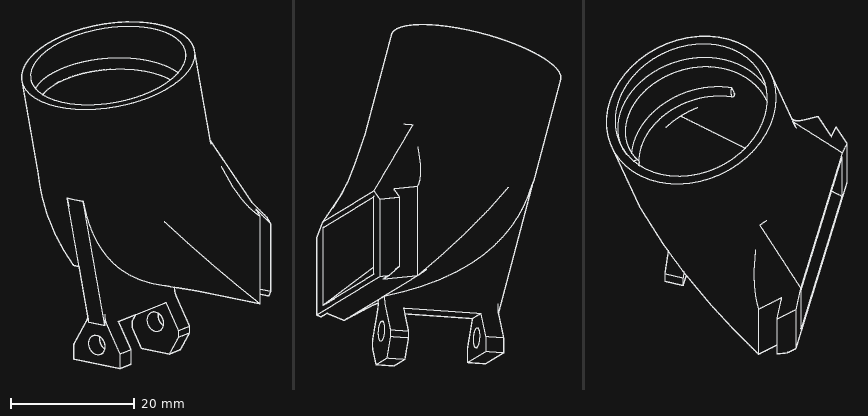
import cadquery as cq
import math

total_depth = 35.65
rim_height = 44.8
tilt = 15.0

collar_diameter = 28.5
bore_diameter = 25.5
collar_length = 17.4

mouth_height = 14.8
mouth_width = 37.3
mouth_half_width = mouth_width / 2
mouth_bevel = 5.6

opening_half_width = 12.85
opening_floor = 1.0
opening_roof = 13.8

bead_radius = 1.0
bead_pitch = 8.85
bead_turns = 1.4
bead_base = 3.25
bead_end_angle = 180.0

flange_reach = 3.0
flange_depth = 2.55
flange_top_drop = 2.0
flange_corner_cut = 1.4
flange_embed = 0.3

fin_width = 3.2
fin_embed = 0.55
bar_drop = 1.9
lug_thickness = 3.1
lug_half_width = 4.65
lug_shoulder_drop = 6.2
lug_knee_drop = 7.3
front_lug_drop = 8.7
rear_lug_drop = 10.5
lug_span = 19.4
lug_rear_y = -5.7
lug_front_y = lug_rear_y - lug_span
flank_lean = math.radians(30)
hole_diameter = 3.25
hole_drop = 5.5

lean = math.radians(tilt)
collar_radius = collar_diameter / 2
bore_radius = bore_diameter / 2
axis = cq.Vector(0, -math.sin(lean), math.cos(lean))
rise = cq.Vector(0, math.cos(lean), math.sin(lean))
across = cq.Vector(1, 0, 0)
rim_centre = cq.Vector(
    0,
    -total_depth + collar_radius * math.cos(lean),
    rim_height - collar_radius * math.sin(lean),
)
base_centre = rim_centre - axis * collar_length
collar_plane = cq.Plane(origin=base_centre, xDir=across, normal=axis)

rows = 12
columns = 16
sewing_tolerance = 0.05
corner_angle = 45.0
floor_follow = 15.5
side_follow = 8.3
corner_control = cq.Vector(14.95, -8.25, 18.0)
outer_floor_control = cq.Vector(15.25, -18.9, 11.35)


def circle_point(radius, angle):
    turn = math.radians(angle)
    return base_centre + across * (radius * math.cos(turn)) + rise * (radius * math.sin(turn))


def mirrored(point):
    return cq.Vector(-point.x, point.y, point.z)


def bezier(start, control, end, t):
    """Point at fraction t of a quadratic curve."""
    return start * (1 - t) ** 2 + control * (2 * t * (1 - t)) + end * t**2


def straight_control(start, end):
    """Control that makes the border a straight line."""
    return (start + end) * 0.5


def patch(radius, angles, edge, controls, follow=0):
    """Face from an arc of the circle to a straight mouth edge.

    The two controls shape the side borders. Halfway between the borders the face
    leaves the circle along the collar axis when a length to follow it is given.
    """
    borders = [
        control - straight_control(circle_point(radius, angle), corner)
        for control, angle, corner in zip(controls, angles, edge)
    ]
    grid = []
    for column in range(columns + 1):
        along = column / columns
        start = circle_point(radius, angles[0] + (angles[1] - angles[0]) * along)
        end = edge[0] + (edge[1] - edge[0]) * along
        control = straight_control(start, end) + borders[0] * (1 - along) + borders[1] * along
        if follow > 0:
            weight = math.sin(math.pi * along)
            control = control * (1 - weight) + (start - axis * follow) * weight
        grid.append([bezier(start, control, end, row / rows) for row in range(rows + 1)])
    return cq.Face.makeSplineApprox(grid, tol=0.001, minDeg=3, maxDeg=6)


def corner_face(tip, straight_end, curved_end, control):
    """Three-sided face between a straight border, a curved border and a mouth edge."""
    curve_points = [bezier(tip, control, curved_end, row / rows) for row in range(rows + 1)]
    borders = [
        cq.Edge.makeLine(tip, straight_end),
        cq.Edge.makeLine(straight_end, curved_end),
        cq.Edge.makeSpline(curve_points),
    ]
    return cq.Face.makeNSidedSurface(borders, [])


def flat_face(*points):
    return cq.Face.makeFromWires(cq.Wire.makePolygon(list(points), close=True))


def sewn_solid(faces):
    sewn = cq.occ_impl.shapes.shell(*faces, tol=sewing_tolerance)
    return cq.Workplane(cq.occ_impl.shapes.solid(sewn).fix())


def disc(radius):
    return cq.Face.makeFromWires(cq.Wire.makeCircle(radius, base_centre, axis))


def outer_body():
    back_half_width = mouth_half_width - mouth_bevel
    roof = cq.Vector(back_half_width, 0, mouth_height)
    side_top = cq.Vector(mouth_half_width, -mouth_bevel, mouth_height)
    side_bottom = cq.Vector(mouth_half_width, -mouth_bevel, 0)
    back_bottom = cq.Vector(back_half_width, 0, 0)
    upper = circle_point(collar_radius, corner_angle)
    roof_control = straight_control(upper, roof)

    faces = [disc(collar_radius)]
    faces.append(patch(
        collar_radius, (corner_angle, 180 - corner_angle), (roof, mirrored(roof)),
        (roof_control, mirrored(roof_control))))
    faces.append(patch(
        collar_radius, (-corner_angle, corner_angle - 180), (side_bottom, mirrored(side_bottom)),
        (outer_floor_control, mirrored(outer_floor_control)), floor_follow))
    right_side = [
        patch(collar_radius, (-corner_angle, corner_angle), (side_bottom, side_top),
              (outer_floor_control, corner_control), side_follow),
        corner_face(upper, roof, side_top, corner_control),
        flat_face(roof, side_top, side_bottom, back_bottom),
    ]
    for face in right_side:
        faces.append(face)
        faces.append(face.mirror("YZ"))
    faces.append(flat_face(roof, mirrored(roof), mirrored(back_bottom), back_bottom))
    faces.append(flat_face(back_bottom, mirrored(back_bottom), mirrored(side_bottom), side_bottom))
    return sewn_solid(faces)


def duct_cavity():
    roof = cq.Vector(opening_half_width, 0, opening_roof)
    floor = cq.Vector(opening_half_width, 0, opening_floor)
    upper = circle_point(bore_radius, corner_angle)
    lower = circle_point(bore_radius, -corner_angle)
    roof_control = straight_control(upper, roof)
    floor_control = straight_control(lower, floor)
    side = patch(bore_radius, (-corner_angle, corner_angle), (floor, roof),
                 (floor_control, roof_control))
    faces = [
        disc(bore_radius),
        patch(bore_radius, (corner_angle, 180 - corner_angle), (roof, mirrored(roof)),
              (roof_control, mirrored(roof_control))),
        patch(bore_radius, (-corner_angle, corner_angle - 180), (floor, mirrored(floor)),
              (floor_control, mirrored(floor_control)), floor_follow),
        side,
        side.mirror("YZ"),
        flat_face(roof, mirrored(roof), mirrored(floor), floor),
    ]
    return sewn_solid(faces)


def collar():
    return cq.Workplane(collar_plane).circle(collar_radius).extrude(collar_length)


def bore():
    return cq.Workplane(collar_plane).circle(bore_radius).extrude(collar_length)


def hose_thread():
    helix = cq.Wire.makeHelix(bead_pitch, bead_pitch * bead_turns, bore_radius)
    bead = (
        cq.Workplane("XZ")
        .center(bore_radius, 0)
        .circle(bead_radius)
        .sweep(cq.Workplane(helix), isFrenet=True)
    )
    bead = bead.rotate((0, 0, 0), (0, 0, 1), bead_end_angle).translate((0, 0, bead_base))
    return cq.Workplane(bead.val().moved(cq.Location(collar_plane)))


def side_flange():
    root_x = mouth_half_width - mouth_bevel
    tip_x = root_x + flange_reach
    section = flat_face(
        cq.Vector(root_x - flange_embed, 0, 0),
        cq.Vector(tip_x, 0, 0),
        cq.Vector(tip_x, 0, mouth_height - flange_top_drop),
        cq.Vector(root_x, 0, mouth_height),
        cq.Vector(root_x - flange_embed, 0, mouth_height),
    )
    along_bevel = cq.Vector(flange_depth, -flange_depth, 0)
    flange = cq.Workplane(cq.Solid.extrudeLinear(section, along_bevel))
    corner_wedge = (
        cq.Workplane("YZ")
        .polyline([
            (-flange_depth, 0),
            (flange_corner_cut - flange_depth, 0),
            (-flange_depth, flange_corner_cut),
        ])
        .close()
        .extrude(mouth_width)
    )
    return flange.cut(corner_wedge)


def flank_half_width(drop):
    """Half width of the hexagonal lug on its upper 60 degree flank."""
    return lug_half_width - (lug_shoulder_drop - drop) * math.tan(flank_lean)


def fin():
    base_front = base_centre - rise * collar_radius
    inside = base_front + rise * fin_embed
    foot = base_front - axis * ((base_front.z + bar_drop) / axis.z)
    return (
        cq.Workplane("YZ")
        .polyline([
            (base_front.y, base_front.z),
            (foot.y, foot.z),
            (lug_rear_y, -bar_drop),
            (lug_rear_y, fin_embed),
            (inside.y, inside.z),
        ])
        .close()
        .extrude(fin_width / 2, both=True)
    )


def flared_bar():
    """Bar under the fin whose concave flanks run from upright into the lug flanks."""
    top_x = fin_width / 2
    foot_x = flank_half_width(bar_drop)
    bend_x = top_x + (foot_x - top_x) / 4
    return (
        cq.Workplane("XZ", origin=(0, lug_front_y, 0))
        .moveTo(-top_x, 0)
        .lineTo(top_x, 0)
        .threePointArc((bend_x, -bar_drop / 2), (foot_x, -bar_drop))
        .lineTo(-foot_x, -bar_drop)
        .threePointArc((-bend_x, -bar_drop / 2), (-top_x, 0))
        .close()
        .extrude(-lug_span)
    )


def lug(front_y, lower_outline):
    """Plate across Y; the lower outline lists its right half below the sloping flank."""
    right_outline = [
        (flank_half_width(bar_drop), -bar_drop),
        (lug_half_width, -lug_shoulder_drop),
    ]
    right_outline = right_outline + lower_outline
    left_outline = [(-x, z) for x, z in reversed(right_outline)]
    return (
        cq.Workplane("XZ", origin=(0, front_y, 0))
        .polyline(right_outline + left_outline)
        .close()
        .extrude(-lug_thickness)
    )


def hinge_lugs():
    tapered_width = lug_half_width - (rear_lug_drop - lug_knee_drop) * math.tan(flank_lean)
    front = lug(lug_front_y, [(lug_half_width, -front_lug_drop)])
    rear = lug(
        lug_rear_y - lug_thickness,
        [(lug_half_width, -lug_knee_drop), (tapered_width, -rear_lug_drop)],
    )
    pin_hole = (
        cq.Workplane("XZ", origin=(0, 0, -hole_drop))
        .circle(hole_diameter / 2)
        .extrude(total_depth)
    )
    return front.union(rear).cut(pin_hole)


flange = side_flange()
shell_body = outer_body().union(collar()).union(fin()).union(flared_bar())
shell_body = shell_body.union(flange).union(flange.mirror("YZ"))
hollow = shell_body.cut(bore()).cut(duct_cavity())
result = hollow.union(hinge_lugs()).union(hose_thread())